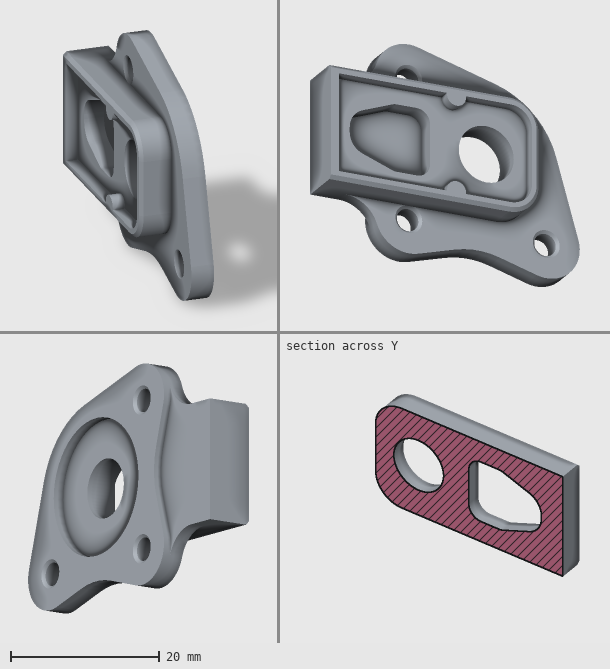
import cadquery as cq
import math


flange_thickness = 3.24
bolt_offset = 10.25
boss_radius = 5.0
waist_radius = 12.0
waist_distance = 13.0
shoulder_radius = 13.25
shoulder_offset = -1.0

bore_diameter = 8.2
counterbore_diameter = 19.0
counterbore_depth = 1.6
bolt_diameter = 3.2
bolt_chamfer = 0.4

housing_left = -24.0
housing_right = 7.2
housing_half_height = 8.33
housing_height = 4.5
housing_rear_gap = 1.2
housing_chamfer = 0.5
blend_radius = 5.0
wall = 1.2
housing_corner_radius = 4.4

recess_depth = 1.75
stud_x = -5.26
stud_z = 6.93
stud_radius = 1.42

pocket_depth = 2.85
pocket_left = -20.37
pocket_right = -8.39
pocket_half_height = 4.92
pocket_left_half_height = 2.45
pocket_slope_end = -13.7
pocket_nose_radius = 3.0
pocket_corner_radius = 2.0
pocket_slope_radius = 1.7

front_y = -(flange_thickness + housing_height)
recess_floor_y = front_y + recess_depth
blend_depth = flange_thickness - housing_rear_gap


def point_on(center, radius, angle):
    return (center[0] + radius * math.cos(angle), center[1] + radius * math.sin(angle))


def heading(start, end):
    return math.atan2(end[1] - start[1], end[0] - start[0])


def plane_at(y):
    """XZ sketch plane at the given Y; extruding goes toward -Y."""
    return cq.Workplane("XZ", origin=(0, y, 0))


def make_flange():
    """Three bosses joined by two hollow flanks and one large round shoulder."""
    middle = (-bolt_offset, -bolt_offset)
    right = (bolt_offset, -bolt_offset)
    waist = (0, -(waist_distance + waist_radius))
    shoulder = (shoulder_offset, shoulder_offset)

    waist_span = math.dist(middle, waist)
    waist_normal = heading(middle, waist) - math.acos((boss_radius + waist_radius) / waist_span)
    shoulder_span = math.dist(right, shoulder)
    lean = math.acos((boss_radius - shoulder_radius) / shoulder_span)
    shoulder_normal = heading(right, shoulder) - lean

    def mirrored(point):
        """Mirror across the diagonal X = Z."""
        return (point[1], point[0])

    middle_end = point_on(middle, boss_radius, waist_normal)
    waist_start = point_on(waist, waist_radius, waist_normal + math.pi)
    waist_end = (-waist_start[0], waist_start[1])
    right_start = (-middle_end[0], middle_end[1])
    right_mid = point_on(right, boss_radius, -math.pi / 4)
    right_end = point_on(right, boss_radius, shoulder_normal)
    shoulder_start = point_on(shoulder, shoulder_radius, shoulder_normal)
    waist_mid = (0, -waist_distance)

    return (
        plane_at(0)
        .moveTo(*middle_end)
        .lineTo(*waist_start)
        .threePointArc(waist_mid, waist_end)
        .lineTo(*right_start)
        .threePointArc(right_mid, right_end)
        .lineTo(*shoulder_start)
        .threePointArc(point_on(shoulder, shoulder_radius, math.pi / 4), mirrored(shoulder_start))
        .lineTo(*mirrored(right_end))
        .threePointArc(mirrored(right_mid), mirrored(right_start))
        .lineTo(*mirrored(waist_end))
        .threePointArc(mirrored(waist_mid), mirrored(waist_start))
        .lineTo(*mirrored(middle_end))
        .threePointArc(point_on(middle, boss_radius, -3 * math.pi / 4), middle_end)
        .close()
        .extrude(flange_thickness)
    )


def make_blend(side):
    """Web with a hollow edge from the housing wall to a left boss; side is +1 or -1 in Z."""
    boss = (-bolt_offset, side * bolt_offset)
    center_z = housing_half_height + blend_radius
    center_x = boss[0] - math.sqrt((boss_radius + blend_radius) ** 2 - (center_z - bolt_offset) ** 2)
    center = (center_x, side * center_z)
    wall_point = (center_x, side * housing_half_height)
    boss_heading = heading(center, boss)
    boss_point = point_on(center, blend_radius, boss_heading)
    arc_mid = point_on(center, blend_radius, (boss_heading - side * math.pi / 2) / 2)
    return (
        plane_at(-housing_rear_gap)
        .moveTo(*wall_point)
        .threePointArc(arc_mid, boss_point)
        .lineTo(*boss)
        .lineTo(boss[0], 0)
        .lineTo(center_x, 0)
        .close()
        .extrude(blend_depth)
    )


def make_block(left, right, half_height, corner_radius, y, depth):
    """Block along X whose two right-hand corners are rounded."""
    return (
        plane_at(y)
        .moveTo(left, -half_height)
        .lineTo(right, -half_height)
        .lineTo(right, half_height)
        .lineTo(left, half_height)
        .close()
        .extrude(depth)
        .edges("|Y and >X")
        .fillet(corner_radius)
    )


def make_housing():
    depth = flange_thickness + housing_height - housing_rear_gap
    block = make_block(
        housing_left, housing_right, housing_half_height, housing_corner_radius, -housing_rear_gap, depth
    )
    return block.faces("<Y").edges("not <X").chamfer(housing_chamfer)


def make_recess():
    """Recess that leaves an even rim and two round studs against the long walls."""
    recess = make_block(
        housing_left + wall,
        housing_right - wall,
        housing_half_height - wall,
        housing_corner_radius - wall,
        recess_floor_y,
        recess_depth,
    )
    studs = (
        plane_at(recess_floor_y)
        .pushPoints([(stud_x, stud_z), (stud_x, -stud_z)])
        .circle(stud_radius)
        .extrude(recess_depth)
    )
    return recess.cut(studs)


def make_pocket():
    """Pocket that tapers toward the left end, with all corners rounded."""
    pocket = (
        plane_at(recess_floor_y + pocket_depth)
        .moveTo(pocket_left, -pocket_left_half_height)
        .lineTo(pocket_slope_end, -pocket_half_height)
        .lineTo(pocket_right, -pocket_half_height)
        .lineTo(pocket_right, pocket_half_height)
        .lineTo(pocket_slope_end, pocket_half_height)
        .lineTo(pocket_left, pocket_left_half_height)
        .close()
        .extrude(pocket_depth)
    )
    pocket = pocket.edges("|Y and (not <X) and (not >X)").fillet(pocket_slope_radius)
    pocket = pocket.edges("|Y and >X").fillet(pocket_corner_radius)
    pocket = pocket.edges("|Y and <X").fillet(pocket_nose_radius)
    return pocket


def make_bolt_hole(x, z):
    """Through hole chamfered at both flange faces."""
    radius = bolt_diameter / 2
    hole = plane_at(0).center(x, z).circle(radius).extrude(flange_thickness)
    for face_y, inward in ((0, 1), (-flange_thickness, -1)):
        cone = (
            plane_at(face_y)
            .center(x, z)
            .circle(radius + bolt_chamfer)
            .workplane(offset=inward * bolt_chamfer)
            .circle(radius)
            .loft()
        )
        hole = hole.union(cone)
    return hole


def make_counterbored_bore():
    """Through bore with a wide shallow counterbore in the rear face."""
    bore = plane_at(0).circle(bore_diameter / 2).extrude(-front_y)
    return bore.union(plane_at(0).circle(counterbore_diameter / 2).extrude(counterbore_depth))


result = make_flange()
for side in (1, -1):
    result = result.union(make_blend(side))
result = result.union(make_housing())
result = result.cut(make_recess())
result = result.cut(make_pocket())
result = result.cut(make_counterbored_bore())
for x_sign, z_sign in ((-1, 1), (-1, -1), (1, -1)):
    result = result.cut(make_bolt_hole(x_sign * bolt_offset, z_sign * bolt_offset))